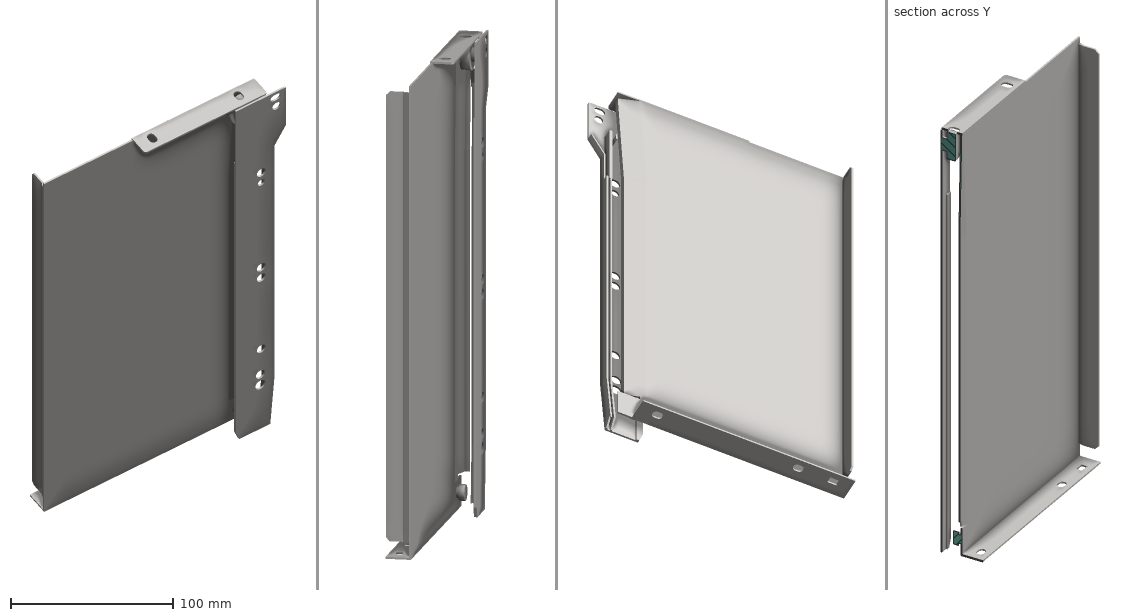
import cadquery as cq

sheet = 1.2
height = 302.0
depth = 169.5
width = 30.5

wall_x = 14.8
wall_inner_x = wall_x + sheet
panel_bottom = 1.8
crease_z = 228.3
lean = 4.2
slant_start_y = 136.5
slant_end_y = 149.0
slant_end_x = 19.0
slant_thickness_x = 0.5
runner_tip_x = 22.5
strip_bottom = 21.5
notch_top = 25.5
notch_y = 140.5
tab_end_y = 156.0

hem_bottom = 12.7
hem_top = 296.5
hem_set_back = 1.5
hem_flat_end_x = 11.0
hem_chamfer = 2.5

slot_width = 5.0
bottom_flange_end_y = 146.2
bottom_slot_x = 6.3
bottom_slot_length = 7.0
bottom_slot_ys = (36.2, 133.2)
locating_hole_y = 12.0
locating_hole_size = (4.2, 6.3)
top_flange_start_y = 65.5
top_flange_end_x = 29.5
top_flange_radius = 1.8
top_slot_x = 21.7
top_slot_length = 8.0
top_slot_ys = (76.0, 140.0)

panel_roller_y = 143.5
panel_roller_z = 13.3
panel_roller_radius = 5.0
panel_hub_radius = 3.5
panel_hub_length = 1.5
panel_roller_end_x = 21.5

rail_inner_x = width - sheet
rail_top = 300.2
rail_near_y = 132.3
rail_far_y = 160.7
ear_bottom = 266.0
ear_taper_end = 252.0
ear_radius = 1.2
ramp_start_z = 40.0
ramp_shift = 3.0
near_chamfer = (2.5, 6.5)

web_hem_width = 4.5
web_hem_thickness = 1.0

narrow_tip_x = 25.5
outer_tip_x = 21.7
inner_tip_x = 22.5
inner_far_y = 157.5
lead_in_top = 273.0
lead_in_ys = (156.0, 158.2)
flange_bottom = 3.5
tip_chamfer = 5.7

stop_x = 23.0
stop_y = 152.5
stop_bottom = 267.5
stop_bend_z = 270.3
stop_top = 279.7
stop_rise = 3.5

ear_slot_at = (161.5, 295.5)
ear_slot_length = 7.2
ear_hole_at = (162.2, 287.2)
ear_hole_diameter = 6.0
web_holes = (
    (151.0, 233.0, 6.5),
    (151.0, 224.0, 5.0),
    (151.0, 146.8, 6.5),
    (151.0, 137.5, 6.5),
    (151.0, 72.5, 6.5),
    (150.5, 49.5, 7.0),
    (150.5, 40.2, 7.5),
)

rail_roller_y = 141.5
rail_roller_z = 290.5
rail_roller_radius = 9.7
rail_roller_start_x = 19.5
rail_roller_end_x = 24.5
rail_axle_radius = 4.5
rail_collar_radius = 10.0
rail_collar_end_x = 26.0


def block(x0, x1, y0, y1, z0, z1):
    """A box between opposite corners."""
    return cq.Workplane("XY").box(x1 - x0, y1 - y0, z1 - z0, centered=False).translate((x0, y0, z0))


def cylinder_x(x0, x1, y, z, radius):
    """A cylinder along X."""
    return cq.Workplane("YZ", origin=(x0, y, z)).circle(radius).extrude(x1 - x0)


def plate_x(points, x0, x1):
    """A plate with a (Y, Z) outline between two X levels."""
    return cq.Workplane("YZ", origin=(x0, 0, 0)).polyline(points).close().extrude(x1 - x0)


def panel_profile(shift):
    """(X, Y) section of wall, slanted strip and running flange, its bends moved along Y."""
    start = slant_start_y + shift
    end = slant_end_y + shift
    return [
        (wall_x, 0),
        (wall_x, start),
        (slant_end_x, end + sheet),
        (runner_tip_x, end + sheet),
        (runner_tip_x, end),
        (slant_end_x + slant_thickness_x, end),
        (wall_inner_x, start),
        (wall_inner_x, 0),
    ]


def panel_wall():
    straight = (
        cq.Workplane("XY", origin=(0, 0, strip_bottom))
        .polyline(panel_profile(0)).close().extrude(crease_z - strip_bottom)
    )
    leaning = (
        cq.Workplane("XY", origin=(0, 0, crease_z)).polyline(panel_profile(0)).close()
        .workplane(offset=height - sheet - crease_z).polyline(panel_profile(lean)).close()
        .loft(ruled=True)
    )
    notch = block(wall_x, width, notch_y, depth, strip_bottom, notch_top)
    tab = block(wall_x, wall_inner_x, 0, tab_end_y, panel_bottom, strip_bottom)
    return straight.cut(notch).union(tab).union(leaning, clean=False)


def panel_hem():
    section = [
        (0, hem_set_back),
        (hem_flat_end_x, hem_set_back),
        (wall_x, 0),
        (wall_inner_x, 0),
        (wall_inner_x, sheet),
        (hem_flat_end_x, hem_set_back + sheet),
        (0, hem_set_back + sheet),
    ]
    hem = (
        cq.Workplane("XY", origin=(0, 0, hem_bottom))
        .polyline(section).close().extrude(hem_top - hem_bottom)
    )
    return hem.edges("|Y and <X").chamfer(hem_chamfer)


def flange_slots(x, ys, length, angle, z):
    """Cutters for slots through a flange whose underside is at z."""
    return (
        cq.Workplane("XY", origin=(0, 0, z)).pushPoints([(x, y) for y in ys])
        .slot2D(length, slot_width, angle).extrude(sheet)
    )


def panel_bottom_flange():
    flange = block(0, wall_inner_x, 0, bottom_flange_end_y, panel_bottom, panel_bottom + sheet)
    slots = flange_slots(bottom_slot_x, bottom_slot_ys, bottom_slot_length, 90, panel_bottom)
    locating_hole = (
        cq.Workplane("XY", origin=(bottom_slot_x, locating_hole_y, panel_bottom))
        .rect(*locating_hole_size).extrude(sheet)
    )
    return flange.cut(slots).cut(locating_hole)


def panel_top_flange():
    underside = height - sheet
    flange = block(wall_x, top_flange_end_x, top_flange_start_y, tab_end_y, underside, height)
    flange = flange.edges("|Z and >X").fillet(top_flange_radius)
    return flange.cut(flange_slots(top_slot_x, top_slot_ys, top_slot_length, 0, underside))


def panel_roller():
    hub_end = wall_inner_x + panel_hub_length
    hub = cylinder_x(wall_inner_x, hub_end, panel_roller_y, panel_roller_z, panel_hub_radius)
    wheel = cylinder_x(hub_end, panel_roller_end_x, panel_roller_y, panel_roller_z, panel_roller_radius)
    return hub.union(wheel)


def side_panel():
    panel = panel_wall().union(panel_hem(), clean=False)
    panel = panel.union(panel_bottom_flange(), clean=False)
    panel = panel.union(panel_top_flange(), clean=False)
    return panel.union(panel_roller(), clean=False)


def rail_web():
    chamfer_y, chamfer_z = near_chamfer
    web = plate_x(
        [
            (rail_near_y, rail_top),
            (depth, rail_top),
            (depth, ear_bottom),
            (rail_far_y, ear_taper_end),
            (rail_far_y, ramp_start_z),
            (rail_far_y - ramp_shift, 0),
            (rail_near_y + chamfer_y, 0),
            (rail_near_y, chamfer_z),
        ],
        rail_inner_x,
        width,
    )
    return web.edges("|X").edges(">Y and >Z").fillet(ear_radius)


def rail_narrow_flange():
    """Flange along the taper of the ear and down to the crease level."""
    return plate_x(
        [
            (depth, ear_bottom),
            (rail_far_y, ear_taper_end),
            (rail_far_y, crease_z),
            (rail_far_y - sheet, crease_z),
            (rail_far_y - sheet, ear_taper_end),
            (depth - sheet, ear_bottom),
        ],
        narrow_tip_x,
        width,
    )


def rail_web_hem():
    chamfer_y, chamfer_z = near_chamfer
    hem_far_y = rail_near_y + web_hem_width
    return plate_x(
        [
            (rail_near_y, ear_taper_end),
            (hem_far_y, ear_taper_end),
            (hem_far_y, 0),
            (rail_near_y + chamfer_y, 0),
            (rail_near_y, chamfer_z),
        ],
        rail_inner_x - web_hem_thickness,
        rail_inner_x,
    )


def long_flange(far_y, tip_x):
    """A flange below the crease level that follows the ramp, its bottom corner cut off."""
    flange = plate_x(
        [
            (far_y, crease_z),
            (far_y, ramp_start_z),
            (far_y - ramp_shift, 0),
            (far_y - ramp_shift - sheet, 0),
            (far_y - sheet, ramp_start_z),
            (far_y - sheet, crease_z),
        ],
        tip_x,
        width,
    )
    corner = (
        cq.Workplane("XZ", origin=(0, depth, 0))
        .polyline([
            (outer_tip_x, 0),
            (outer_tip_x, flange_bottom),
            (inner_tip_x, flange_bottom),
            (inner_tip_x, tip_chamfer),
            (inner_tip_x + tip_chamfer, 0),
        ])
        .close().extrude(depth)
    )
    return flange.cut(corner)


def rail_outer_flange():
    return rail_narrow_flange().union(long_flange(rail_far_y, outer_tip_x))


def rail_inner_flange():
    lead_in = block(inner_tip_x, width, *lead_in_ys, crease_z, lead_in_top)
    return long_flange(inner_far_y, inner_tip_x).union(lead_in)


def rail_stop():
    """Tab standing on the web, its upper end bent towards -Y."""
    return plate_x(
        [
            (stop_y, stop_bottom),
            (stop_y, stop_bend_z),
            (stop_y - stop_rise, stop_top),
            (stop_y - stop_rise + sheet, stop_top),
            (stop_y + sheet, stop_bend_z),
            (stop_y + sheet, stop_bottom),
        ],
        stop_x,
        width,
    )


def rail_roller():
    axle = cylinder_x(rail_roller_end_x, width, rail_roller_y, rail_roller_z, rail_axle_radius)
    wheel = cylinder_x(
        rail_roller_start_x, rail_roller_end_x, rail_roller_y, rail_roller_z, rail_roller_radius
    )
    collar = cylinder_x(
        rail_roller_end_x, rail_collar_end_x, rail_roller_y, rail_roller_z, rail_collar_radius
    )
    return axle.union(wheel).union(collar)


def rail_holes():
    ear_slot = (
        cq.Workplane("YZ", origin=(rail_inner_x, *ear_slot_at))
        .slot2D(ear_slot_length, slot_width).extrude(sheet)
    )
    holes = ear_slot.union(cylinder_x(rail_inner_x, width, *ear_hole_at, ear_hole_diameter / 2))
    for y, z, diameter in web_holes:
        holes = holes.union(cylinder_x(rail_inner_x, width, y, z, diameter / 2))
    return holes


def slide_rail():
    rail = rail_web().union(rail_web_hem()).cut(rail_holes())
    for feature in (rail_outer_flange(), rail_inner_flange(), rail_stop(), rail_roller()):
        rail = rail.union(feature)
    return rail


panel = side_panel()
rail = slide_rail()
result = cq.Compound.makeCompound([panel.solids().val(), rail.solids().val()])